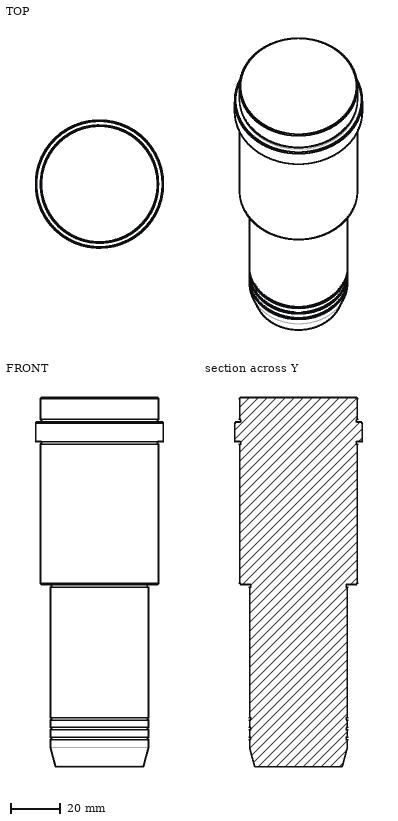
import cadquery as cq
import math

total_height = 150.0
head_length = 76.0
collar_top = total_height - 10.0
collar_height = 8.0
collar_bottom = collar_top - collar_height
head_bottom = total_height - head_length

collar_radius = 52.0 / 2
head_radius = 48.0 / 2
shank_radius = 40.0 / 2

edge_chamfer = 0.5
bottom_edge_radius = 0.5

relief_width = 1.0
relief_depth = 0.5

lead_in_height = 8.0
lead_in_angle = 15.0
tip_radius = shank_radius - lead_in_height * math.tan(math.radians(lead_in_angle))

groove_radius = 0.5
groove_count = 3
groove_pitch = 4.0
lowest_groove_height = 11.5


def cylinder(radius, bottom, top):
    """Solid cylinder on the Z axis between two heights."""
    return cq.Workplane("XY").workplane(offset=bottom).circle(radius).extrude(top - bottom)


def make_head():
    """Upper cylinder with both end edges chamfered."""
    return cylinder(head_radius, head_bottom, total_height).edges().chamfer(edge_chamfer)


def make_shank():
    """Lower cylinder with a conical lead-in and a rounded bottom edge."""
    profile = (
        cq.Workplane("XZ")
        .moveTo(0, 0)
        .lineTo(tip_radius, 0)
        .lineTo(shank_radius, lead_in_height)
        .lineTo(shank_radius, head_bottom)
        .lineTo(0, head_bottom)
        .close()
    )
    shank = profile.revolve(360, (0, 0, 0), (0, 1, 0))
    return shank.faces("<Z").edges().fillet(bottom_edge_radius)


def make_collar():
    """Wide ring with its upper edge chamfered."""
    return cylinder(collar_radius, collar_bottom, collar_top).edges(">Z").chamfer(edge_chamfer)


def cut_round_groove(body, radius, middle):
    """Half-round groove all round a cylinder of the given radius."""
    return body.cut(cq.Solid.makeTorus(radius, groove_radius, cq.Vector(0, 0, middle)))


def cut_collar_grooves(body):
    """One half-round groove in the head against each side of the collar."""
    body = cut_round_groove(body, head_radius, collar_top + groove_radius)
    return cut_round_groove(body, head_radius, collar_bottom - groove_radius)


def cut_shank_relief(body):
    """Square relief in the shank just below the head."""
    relief_bottom = head_bottom - relief_width
    floor = cylinder(shank_radius - relief_depth, relief_bottom, head_bottom)
    cutter = cylinder(head_radius, relief_bottom, head_bottom).cut(floor)
    return body.cut(cutter)


def cut_ring_grooves(body):
    """Evenly spaced half-round grooves near the lower end of the shank."""
    for index in range(groove_count):
        body = cut_round_groove(body, shank_radius, lowest_groove_height + index * groove_pitch)
    return body


body = make_shank().union(make_head()).union(make_collar())
body = cut_collar_grooves(body)
body = cut_shank_relief(body)
result = cut_ring_grooves(body)